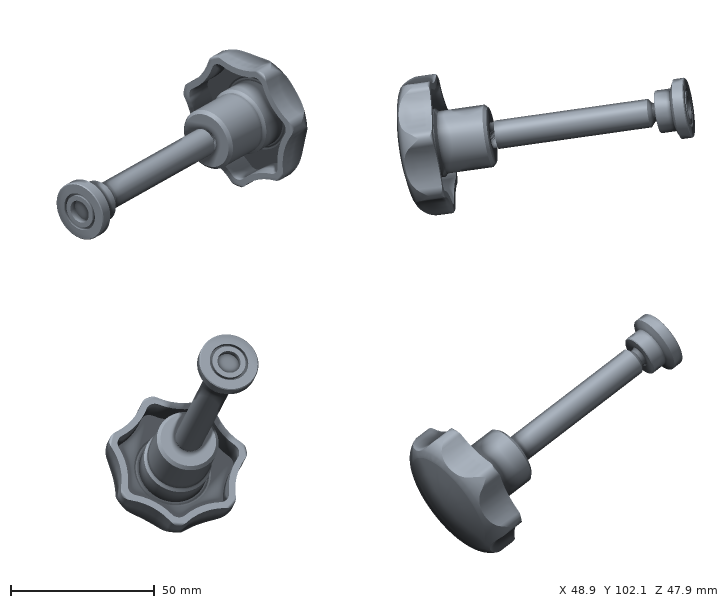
import cadquery as cq
import math


lobe_count = 7
grip_height = 15.0
tip_radius = 25.0
lobe_radius = 4.0
scallop_floor_radius = 21.2
shoulder_radius = 8.0
shoulder_drop = 10.1
rim_fillet = 1.0

pocket_depth = 10.1
pocket_tip_radius = 22.1
pocket_lobe_radius = 3.4
pocket_scallop_radius = 18.9

ring_outer_diameter = 27.3
ring_bottom_diameter = 26.1
ring_inner_diameter = 25.0
ring_depth = 0.2

hub_base_diameter = 24.0
hub_base_end_y = 0.1
hub_diameter = 22.0
hub_end_y = -17.2
hub_chamfer = 1.1

rod_diameter = 10.0
rod_start_y = -18.9
rod_end_y = -73.1
rod_cone_height = 1.5
neck_diameter = 6.5
knurl_diameter = 9.0
knurl_root_diameter = 8.4
knurl_tooth_count = 90
insert_diameter = 10.4
insert_length = 12.3
tip_diameter = 7.9
tip_flare_exposed = 0.5
tip_length = 3.6
tip_flare_height = 1.5

overall_length = 102.1
foot_face_y = grip_height - overall_length
foot_height = 11.0
collar_diameter = 15.0
flange_diameter = 21.0
flange_thickness = 4.0
flange_cone_height = 1.4
foot_edge_chamfer = 0.3
groove_outer_diameter = 13.7
groove_inner_diameter = 11.7
groove_depth = 1.5
foot_hole_diameter = 8.2
foot_hole_depth = 2.6

foot_top_y = foot_face_y + foot_height
tip_top_y = foot_top_y + tip_flare_exposed


def revolve_about_y(profile):
    """Turn a closed (radius, y) profile about the Y axis."""
    return profile.close().revolve(360, (0, 0, 0), (0, 1, 0))


def cylinder(diameter, start_y, end_y):
    """Solid cylinder on the Y axis from start_y down to end_y."""
    return cq.Workplane("XZ", origin=(0, start_y, 0)).circle(diameter / 2).extrude(start_y - end_y)


def polar(radius, angle):
    return (radius * math.cos(angle), radius * math.sin(angle))


def lobed_prism(tip, lobe, scallop_floor, start_y, length):
    """Prism with round lobes joined by tangent scallops, extruded from start_y towards -Y."""
    half_pitch = math.pi / lobe_count
    lobe_center = tip - lobe
    scallop_center = (lobe_center**2 - (scallop_floor - lobe) ** 2) / (
        2 * (lobe_center * math.cos(half_pitch) - scallop_floor + lobe)
    )
    scallop_radius = scallop_center - scallop_floor
    share = lobe / (scallop_radius + lobe)
    scallop_x, scallop_y = polar(scallop_center, half_pitch)
    joint_x = lobe_center + share * (scallop_x - lobe_center)
    joint_y = share * scallop_y
    joint_radius = math.hypot(joint_x, joint_y)
    joint_angle = math.atan2(joint_y, joint_x)

    first_lobe = -math.pi / 2
    start_point = polar(joint_radius, first_lobe - joint_angle)
    outline = cq.Workplane("XZ", origin=(0, start_y, 0)).moveTo(*start_point)
    for index in range(lobe_count):
        angle = first_lobe + 2 * half_pitch * index
        outline = outline.threePointArc(polar(tip, angle), polar(joint_radius, angle + joint_angle))
        outline = outline.threePointArc(
            polar(scallop_floor, angle + half_pitch),
            polar(joint_radius, angle + 2 * half_pitch - joint_angle),
        )
    return outline.close().extrude(length)


def make_crown_envelope():
    """Turned body with dome, rounded shoulder and rounded rim that trims the lobes."""
    shoulder_center_r = tip_radius - shoulder_radius
    dome_radius = (shoulder_center_r**2 + shoulder_drop**2 - shoulder_radius**2) / (
        2 * (shoulder_drop - shoulder_radius)
    )
    dome_center_y = grip_height - dome_radius
    shoulder_end_y = grip_height - shoulder_drop
    dome_angle = math.asin(shoulder_center_r / (dome_radius - shoulder_radius))
    shoulder_mid = (dome_angle + math.pi / 2) / 2

    def on_dome(angle):
        return (dome_radius * math.sin(angle), dome_center_y + dome_radius * math.cos(angle))

    def on_shoulder(angle):
        return (
            shoulder_center_r + shoulder_radius * math.sin(angle),
            shoulder_end_y + shoulder_radius * math.cos(angle),
        )

    profile = (
        cq.Workplane("XY")
        .lineTo(tip_radius - rim_fillet, 0)
        .radiusArc((tip_radius, rim_fillet), -rim_fillet)
        .lineTo(tip_radius, shoulder_end_y)
        .threePointArc(on_shoulder(shoulder_mid), on_shoulder(dome_angle))
        .threePointArc(on_dome(dome_angle / 2), (0, grip_height))
    )
    return revolve_about_y(profile)


def make_ring_groove():
    """V-section ring cut into the pocket floor around the hub."""
    profile = (
        cq.Workplane("XY")
        .moveTo(ring_inner_diameter / 2, pocket_depth)
        .lineTo(ring_bottom_diameter / 2, pocket_depth + ring_depth)
        .lineTo(ring_outer_diameter / 2, pocket_depth)
    )
    return revolve_about_y(profile)


def make_hub():
    """Stepped hub that rises from the pocket floor."""
    base_r = hub_base_diameter / 2
    hub_r = hub_diameter / 2
    profile = (
        cq.Workplane("XY")
        .moveTo(0, pocket_depth)
        .lineTo(base_r, pocket_depth)
        .lineTo(base_r, hub_base_end_y + base_r - hub_r)
        .lineTo(hub_r, hub_base_end_y)
        .lineTo(hub_r, hub_end_y + hub_chamfer)
        .lineTo(hub_r - hub_chamfer, hub_end_y)
        .lineTo(0, hub_end_y)
    )
    return revolve_about_y(profile)


def make_insert():
    """Plain end of the stud that sits in the hub, flush with its face."""
    return cylinder(insert_diameter, hub_end_y + insert_length, hub_end_y)


def make_knurl():
    """Short straight-knurled neck with V-shaped teeth between hub face and rod."""
    tooth_angle = 2 * math.pi / knurl_tooth_count
    points = []
    for index in range(knurl_tooth_count):
        points.append(polar(knurl_diameter / 2, tooth_angle * index))
        points.append(polar(knurl_root_diameter / 2, tooth_angle * (index + 0.5)))
    section = cq.Workplane("XZ", origin=(0, hub_end_y, 0)).polyline(points).close()
    return section.extrude(hub_end_y - rod_start_y)


def make_knob():
    """Lobed grip with its pocket and hub, bored for the stud insert."""
    grip = lobed_prism(tip_radius, lobe_radius, scallop_floor_radius, grip_height, grip_height)
    pocket = lobed_prism(
        pocket_tip_radius, pocket_lobe_radius, pocket_scallop_radius, pocket_depth, pocket_depth
    )
    grip = grip.intersect(make_crown_envelope()).cut(pocket).cut(make_ring_groove())
    return grip.union(make_hub()).cut(make_insert())


def make_stud():
    """Insert, knurled neck, plain rod and the tip that carries the foot."""
    rod_r = rod_diameter / 2
    neck_r = neck_diameter / 2
    tip_r = tip_diameter / 2
    profile = (
        cq.Workplane("XY")
        .moveTo(0, rod_start_y)
        .lineTo(rod_r, rod_start_y)
        .lineTo(rod_r, rod_end_y)
        .lineTo(neck_r, rod_end_y - rod_cone_height)
        .lineTo(neck_r, tip_top_y)
        .lineTo(tip_r, tip_top_y - tip_flare_height)
        .lineTo(tip_r, foot_top_y - tip_length)
        .lineTo(0, foot_top_y - tip_length)
    )
    return revolve_about_y(profile).union(make_knurl()).union(make_insert())


def make_foot():
    """Flanged thrust pad with a blind socket for the tip and a grooved face."""
    collar_r = collar_diameter / 2
    flange_r = flange_diameter / 2
    flange_top_y = foot_face_y + flange_thickness
    profile = (
        cq.Workplane("XY")
        .moveTo(0, foot_face_y)
        .lineTo(flange_r - foot_edge_chamfer, foot_face_y)
        .lineTo(flange_r, foot_face_y + foot_edge_chamfer)
        .lineTo(flange_r, flange_top_y)
        .lineTo(collar_r, flange_top_y + flange_cone_height)
        .lineTo(collar_r, foot_top_y - foot_edge_chamfer)
        .lineTo(collar_r - foot_edge_chamfer, foot_top_y)
        .lineTo(0, foot_top_y)
    )
    socket = cylinder(tip_diameter, foot_top_y, foot_top_y - tip_length)
    hole = cylinder(foot_hole_diameter, foot_face_y + foot_hole_depth, foot_face_y)
    groove_top_y = foot_face_y + groove_depth
    groove = cylinder(groove_outer_diameter, groove_top_y, foot_face_y).cut(
        cylinder(groove_inner_diameter, groove_top_y, foot_face_y)
    )
    return revolve_about_y(profile).cut(socket).cut(hole).cut(groove)


knob = make_knob()
stud = make_stud()
foot = make_foot()

result = cq.Compound.makeCompound([knob.val(), stud.val(), foot.val()])